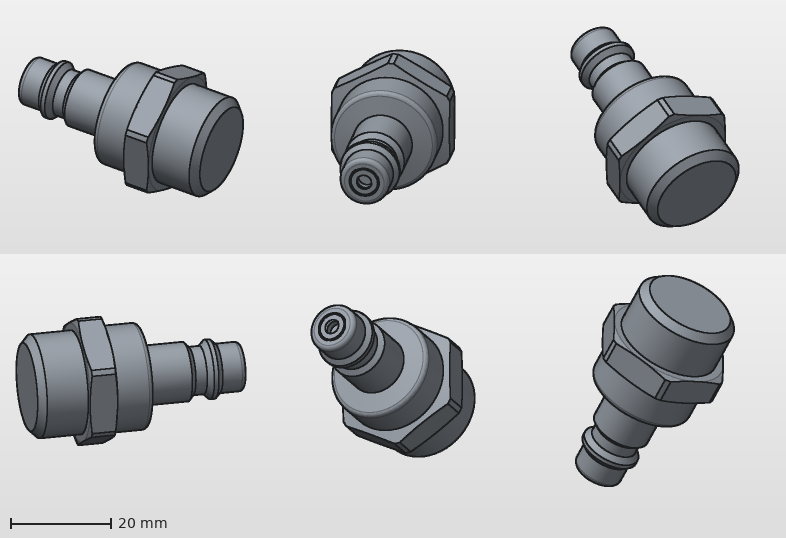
import cadquery as cq
import math

length = 44.0
collar_start = 4.95
collar_rim_start = 6.0
collar_rim_end = 6.9
neck_start = 8.1
neck_end = 10.45
shank_start = 11.45
shank_end = 19.95
hex_start = 28.0
hex_end = 33.95

nose_diameter = 10.0
collar_diameter = 12.0
neck_diameter = 9.75
body_diameter = 21.5
socket_diameter = 20.95

nose_fillet = 0.95
shoulder_slope = 9.0
shoulder_fillet = 0.95
end_chamfer = 1.6

across_flats = 24.0
hex_corner_diameter = 27.0
hex_bevel_angle = 15.0

valve_gap_outer = 6.0
valve_face_diameter = 5.45
valve_disc_diameter = 5.6
valve_step_depth = 0.35
valve_gap_depth = 0.55
mouth_diameter = 3.0
lip_thickness = 0.05
flare_angle = 56.0
ledge_depth = 1.15
bore_diameter = 3.3
bore_depth = 2.65


def revolve_about_x(points):
    """Revolve a closed (x, radius) outline about the X axis."""
    return cq.Workplane("XY").polyline(points).close().revolve(360, (0, 0), (1, 0))


def edges_at(station):
    """Selector for the circular edges centred on the axis at one X station."""
    tolerance = 0.05
    return cq.selectors.BoxSelector(
        (station - tolerance, -tolerance, -tolerance),
        (station + tolerance, tolerance, tolerance),
    )


def turned_body():
    """All round sections, with the rounded nose and shoulder."""
    nose_radius = nose_diameter / 2
    collar_radius = collar_diameter / 2
    neck_radius = neck_diameter / 2
    body_radius = body_diameter / 2
    socket_radius = socket_diameter / 2
    shoulder_rise = (body_radius - collar_radius) * math.tan(math.radians(shoulder_slope))
    shoulder_end = shank_end + shoulder_rise

    body = revolve_about_x([
        (0, 0),
        (0, nose_radius),
        (collar_start, nose_radius),
        (collar_rim_start, collar_radius),
        (collar_rim_end, collar_radius),
        (neck_start, neck_radius),
        (neck_end, neck_radius),
        (shank_start, collar_radius),
        (shank_end, collar_radius),
        (shoulder_end, body_radius),
        (hex_end, body_radius),
        (hex_end, socket_radius),
        (length - end_chamfer, socket_radius),
        (length, socket_radius - end_chamfer),
        (length, 0),
    ])
    body = body.faces("<X").edges().fillet(nose_fillet)
    return body.edges(edges_at(shoulder_end)).fillet(shoulder_fillet)


def hexagon():
    """Hexagon with corners on Z, turned to a corner diameter and bevelled on both sides."""
    body_radius = body_diameter / 2
    corner_radius = hex_corner_diameter / 2
    flat_radius = across_flats / 2
    bevel = math.tan(math.radians(hex_bevel_angle))

    prism = (
        cq.Workplane("YZ", origin=(hex_start, 0, 0))
        .polygon(6, across_flats / math.cos(math.pi / 6))
        .extrude(hex_end - hex_start)
        .rotate((0, 0, 0), (1, 0, 0), 90)
    )
    turned_blank = revolve_about_x([
        (hex_start, 0),
        (hex_start, body_radius),
        (hex_start + (corner_radius - body_radius) * bevel, corner_radius),
        (hex_end - (corner_radius - flat_radius) * bevel, corner_radius),
        (hex_end, flat_radius),
        (hex_end, 0),
    ])
    return prism.intersect(turned_blank)


def valve_gap():
    """Ring gap around the stepped valve disc."""
    face_radius = valve_face_diameter / 2
    disc_radius = valve_disc_diameter / 2
    outer_radius = valve_gap_outer / 2
    return revolve_about_x([
        (0, face_radius),
        (valve_step_depth, face_radius),
        (valve_step_depth, disc_radius),
        (valve_gap_depth, disc_radius),
        (valve_gap_depth, outer_radius),
        (0, outer_radius),
    ])


def valve_bore():
    """Blind bore that flares behind its thin lip and continues below a flat ledge."""
    mouth_radius = mouth_diameter / 2
    bore_radius = bore_diameter / 2
    flare_run = (ledge_depth - lip_thickness) * math.tan(math.radians(flare_angle))
    return revolve_about_x([
        (0, 0),
        (0, mouth_radius),
        (lip_thickness, mouth_radius),
        (ledge_depth, mouth_radius + flare_run),
        (ledge_depth, bore_radius),
        (bore_depth, bore_radius),
        (bore_depth, 0),
    ])


result = turned_body().union(hexagon()).cut(valve_gap()).cut(valve_bore())